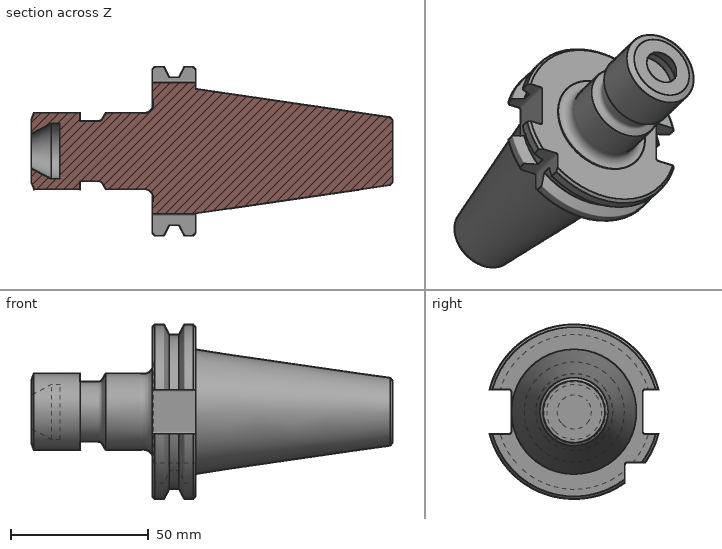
import cadquery as cq
import math


GAUGE_DIAMETER = 44.45
TAPER_RATIO = 7 / 24
SHANK_END_X = 68.4
SHANK_END_CHAMFER = 1.0

FLANGE_DIAMETER = 63.55
FLANGE_FRONT_X = -19.1
FLANGE_BACK_X = -3.2
FLANGE_CHAMFER = 1.0
GROOVE_CENTER_X = -11.05
GROOVE_BOTTOM_DIAMETER = 56.25
GROOVE_BOTTOM_WIDTH = 3.5
GROOVE_FLANK_ANGLE = 28.0
GROOVE_EDGE_FILLET = 0.5

SLOT_WIDTH = 16.1
SLOT_FLOOR_PLUS_Y = 25.0
SLOT_FLOOR_MINUS_Y = -22.8
NOTCH_CORNER = 18.5
CORNER_RADIUS = 0.8

BODY_DIAMETER = 28.0
RELIEF_DIAMETER = 27.8
BODY_FRONT_X = -35.4
BODY_BACK_X = -23.2
BODY_CHAMFER_LENGTH = 0.4
SHOULDER_START_X = -37.65
SHOULDER_ANGLE = 60.0
NECK_DIAMETER = 22.0
NECK_FILLET = 1.55
ROOT_FILLET = 3.3

RECESS_DIAMETER = 36.4
RECESS_DEPTH = 0.4
RECESS_FLOOR_X = FLANGE_FRONT_X + RECESS_DEPTH

NUT_FRONT_X = -63.0
NUT_LENGTH = 17.8
NUT_DIAMETER = 28.0
NUT_FACE_DIAMETER = 23.0
NUT_CHAMFER_LENGTH = 1.0
MOUTH_DIAMETER = 12.4
CAVITY_DIAMETER = 20.0
CAVITY_CONE_DEPTH = 7.2
CAVITY_DEPTH = 10.3


def revolve_about_x(profile):
    """Spin an (x, radius) profile once around the X axis."""
    return profile.close().revolve(360, (0, 0, 0), (1, 0, 0))


def make_shank():
    def radius_at(x):
        return (GAUGE_DIAMETER - TAPER_RATIO * x) / 2

    shank = revolve_about_x(
        cq.Workplane("XY")
        .moveTo(FLANGE_BACK_X, 0)
        .lineTo(FLANGE_BACK_X, radius_at(FLANGE_BACK_X))
        .lineTo(SHANK_END_X, radius_at(SHANK_END_X))
        .lineTo(SHANK_END_X, 0)
    )
    return shank.faces(">X").edges().chamfer(SHANK_END_CHAMFER)


def make_flange():
    outer = FLANGE_DIAMETER / 2
    bottom = GROOVE_BOTTOM_DIAMETER / 2
    bottom_half = GROOVE_BOTTOM_WIDTH / 2
    top_half = bottom_half + (outer - bottom) * math.tan(math.radians(GROOVE_FLANK_ANGLE))

    flange = revolve_about_x(
        cq.Workplane("XY")
        .moveTo(FLANGE_FRONT_X, 0)
        .lineTo(FLANGE_FRONT_X, outer)
        .lineTo(GROOVE_CENTER_X - top_half, outer)
        .lineTo(GROOVE_CENTER_X - bottom_half, bottom)
        .lineTo(GROOVE_CENTER_X + bottom_half, bottom)
        .lineTo(GROOVE_CENTER_X + top_half, outer)
        .lineTo(FLANGE_BACK_X, outer)
        .lineTo(FLANGE_BACK_X, 0)
    )
    groove_rims = cq.selectors.BoxSelector(
        (GROOVE_CENTER_X - top_half - GROOVE_EDGE_FILLET, -outer, -outer),
        (GROOVE_CENTER_X + top_half + GROOVE_EDGE_FILLET, outer, outer),
    )
    largest_radius = cq.selectors.RadiusNthSelector(-1)
    rim_edges = flange.edges("%CIRCLE").edges(groove_rims).edges(largest_radius)
    flange = rim_edges.fillet(GROOVE_EDGE_FILLET)
    return flange.faces("<X or >X").edges().chamfer(FLANGE_CHAMFER)


def make_ring_recess():
    return (
        cq.Workplane("YZ", origin=(FLANGE_FRONT_X, 0, 0))
        .circle(RECESS_DIAMETER / 2)
        .extrude(RECESS_DEPTH)
    )


def make_body():
    neck = NECK_DIAMETER / 2
    body = BODY_DIAMETER / 2
    relief = RELIEF_DIAMETER / 2
    slope = math.radians(SHOULDER_ANGLE)
    shoulder_end_x = SHOULDER_START_X + (relief - neck) / math.tan(slope)

    tangent_length = NECK_FILLET * math.tan(slope / 2)
    blend_start = (SHOULDER_START_X - tangent_length, neck)
    blend_end = (
        SHOULDER_START_X + tangent_length * math.cos(slope),
        neck + tangent_length * math.sin(slope),
    )

    return revolve_about_x(
        cq.Workplane("XY")
        .moveTo(NUT_FRONT_X + NUT_LENGTH, 0)
        .lineTo(NUT_FRONT_X + NUT_LENGTH, neck)
        .lineTo(*blend_start)
        .tangentArcPoint(blend_end, relative=False)
        .lineTo(shoulder_end_x, relief)
        .lineTo(BODY_FRONT_X - BODY_CHAMFER_LENGTH, relief)
        .lineTo(BODY_FRONT_X, body)
        .lineTo(BODY_BACK_X, body)
        .lineTo(BODY_BACK_X + BODY_CHAMFER_LENGTH, relief)
        .lineTo(RECESS_FLOOR_X - ROOT_FILLET, relief)
        .tangentArcPoint((RECESS_FLOOR_X, relief + ROOT_FILLET), relative=False)
        .lineTo(RECESS_FLOOR_X, 0)
    )


def make_nut():
    return revolve_about_x(
        cq.Workplane("XY")
        .moveTo(NUT_FRONT_X, 0)
        .lineTo(NUT_FRONT_X, NUT_FACE_DIAMETER / 2)
        .lineTo(NUT_FRONT_X + NUT_CHAMFER_LENGTH, NUT_DIAMETER / 2)
        .lineTo(NUT_FRONT_X + NUT_LENGTH, NUT_DIAMETER / 2)
        .lineTo(NUT_FRONT_X + NUT_LENGTH, 0)
    )


def make_nut_cavity():
    """Cavity that widens from the nut mouth along a cone and ends in a flat-bottomed cylinder."""
    return revolve_about_x(
        cq.Workplane("XY")
        .moveTo(NUT_FRONT_X, 0)
        .lineTo(NUT_FRONT_X, MOUTH_DIAMETER / 2)
        .lineTo(NUT_FRONT_X + CAVITY_CONE_DEPTH, CAVITY_DIAMETER / 2)
        .lineTo(NUT_FRONT_X + CAVITY_DEPTH, CAVITY_DIAMETER / 2)
        .lineTo(NUT_FRONT_X + CAVITY_DEPTH, 0)
    )


def make_flange_cut(y_inner, y_outer, z_low, z_high):
    """Block through the flange thickness with its inner corners rounded."""
    length = FLANGE_BACK_X - FLANGE_FRONT_X
    block = (
        cq.Workplane("YZ", origin=(FLANGE_FRONT_X, 0, 0))
        .moveTo((y_inner + y_outer) / 2, (z_low + z_high) / 2)
        .rect(abs(y_outer - y_inner), z_high - z_low)
        .extrude(length)
    )
    inner_side = "<Y" if y_inner < y_outer else ">Y"
    return block.faces(inner_side).edges("|X").fillet(CORNER_RADIUS)


def make_drive_slot(floor_y):
    outside_y = math.copysign(FLANGE_DIAMETER, floor_y)
    return make_flange_cut(floor_y, outside_y, -SLOT_WIDTH / 2, SLOT_WIDTH / 2)


def make_notch():
    return make_flange_cut(NOTCH_CORNER, FLANGE_DIAMETER, -FLANGE_DIAMETER, -NOTCH_CORNER)


flange = make_flange()
for floor_y in (SLOT_FLOOR_PLUS_Y, SLOT_FLOOR_MINUS_Y):
    flange = flange.cut(make_drive_slot(floor_y))
flange = flange.cut(make_notch()).cut(make_ring_recess())

result = make_shank().union(flange).union(make_body()).union(make_nut()).cut(make_nut_cavity())